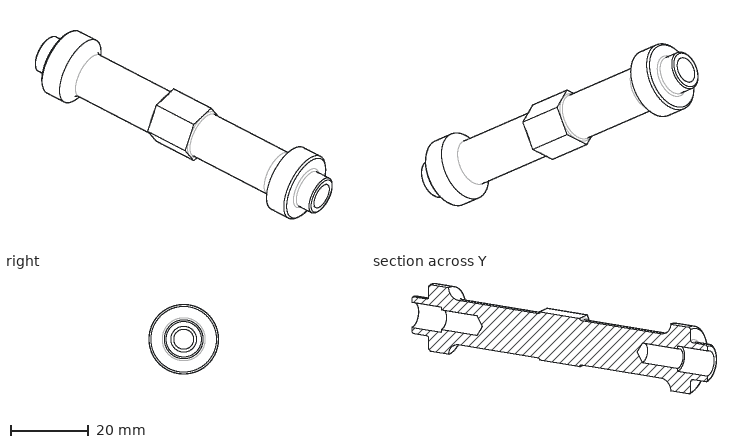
import cadquery as cq
import math

length = 88.5
half_length = length / 2

spigot_radius = 5.0
spigot_length = 5.0
spigot_chamfer_length = 0.35
spigot_chamfer_depth = 0.4
spigot_root_fillet = 0.5
collar_radius = 8.98
collar_width = 6.1
collar_chamfer = 0.5
collar_fillet = 2.9
shaft_radius = 6.0

hex_across_flats = 13.0
hex_length = 12.0
hex_root_fillet = 0.4

bore_radius = 3.32
bore_depth = 8.85
drill_radius = 2.6
drill_depth = 19.5
drill_tip_angle = 118.0

collar_outer = half_length - spigot_length
collar_inner = collar_outer - collar_width
hex_end = hex_length / 2


def fillet_middle(centre_x, centre_r, radius, x_sign):
    """Middle point of a concave quarter arc, on its side nearest the axis."""
    offset = radius * math.sqrt(0.5)
    return (centre_x + x_sign * offset, centre_r - offset)


def half_body():
    """Solid of revolution from the centre out to the +X end."""
    hex_fillet_x = hex_end + hex_root_fillet
    hex_fillet_r = shaft_radius + hex_root_fillet
    collar_fillet_x = collar_inner - collar_fillet
    collar_fillet_r = shaft_radius + collar_fillet
    spigot_fillet_x = collar_outer + spigot_root_fillet
    spigot_fillet_r = spigot_radius + spigot_root_fillet
    return (
        cq.Workplane("XY")
        .lineTo(0, hex_fillet_r)
        .lineTo(hex_end, hex_fillet_r)
        .threePointArc(
            fillet_middle(hex_fillet_x, hex_fillet_r, hex_root_fillet, -1),
            (hex_fillet_x, shaft_radius),
        )
        .lineTo(collar_fillet_x, shaft_radius)
        .threePointArc(
            fillet_middle(collar_fillet_x, collar_fillet_r, collar_fillet, 1),
            (collar_inner, collar_fillet_r),
        )
        .lineTo(collar_inner, collar_radius)
        .lineTo(collar_outer - collar_chamfer, collar_radius)
        .lineTo(collar_outer, collar_radius - collar_chamfer)
        .lineTo(collar_outer, spigot_fillet_r)
        .threePointArc(
            fillet_middle(spigot_fillet_x, spigot_fillet_r, spigot_root_fillet, -1),
            (spigot_fillet_x, spigot_radius),
        )
        .lineTo(half_length - spigot_chamfer_length, spigot_radius)
        .lineTo(half_length, spigot_radius - spigot_chamfer_depth)
        .lineTo(half_length, 0)
        .close()
        .revolve(360, (0, 0, 0), (1, 0, 0))
    )


def half_bore():
    """Cutter for the stepped hole with a conical bottom in the +X end."""
    tip_length = drill_radius / math.tan(math.radians(drill_tip_angle / 2))
    shoulder_x = half_length - bore_depth
    drill_end_x = half_length - drill_depth
    return (
        cq.Workplane("XY")
        .moveTo(half_length, 0)
        .lineTo(half_length, bore_radius)
        .lineTo(shoulder_x, bore_radius)
        .lineTo(shoulder_x, drill_radius)
        .lineTo(drill_end_x, drill_radius)
        .lineTo(drill_end_x - tip_length, 0)
        .close()
        .revolve(360, (0, 0, 0), (1, 0, 0))
    )


def hexagon():
    """Central wrench section."""
    across_corners = hex_across_flats / math.cos(math.pi / 6)
    return (
        cq.Workplane("YZ")
        .polygon(6, across_corners)
        .extrude(hex_end, both=True)
    )


bored_half = half_body().cut(half_bore())
result = bored_half.union(bored_half.mirror("YZ")).union(hexagon())